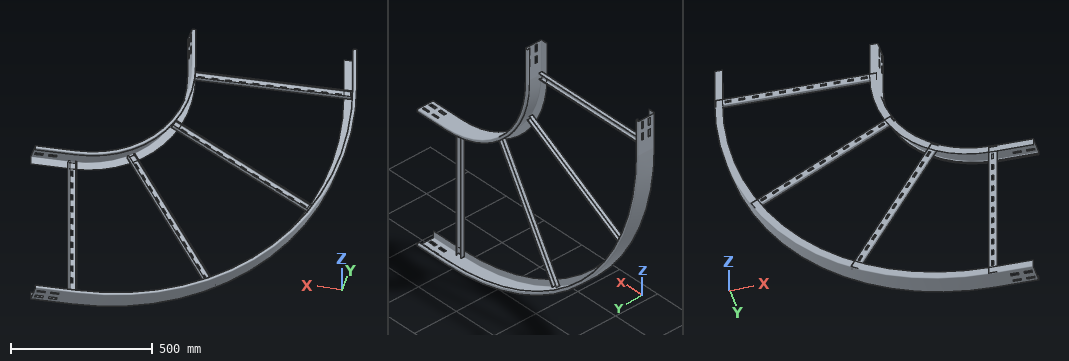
import cadquery as cq

overall_size = 1170.0
tray_height = 80.0
tray_width = 600.0
straight_length = 150.0
sheet = 1.5

broad_flange = 30.0
narrow_flange = 14.0
lip_depth = 10.0
bend_radius = 4.1

rung_angles = (0, 30, 60, 90)
rung_width = 30.0
rung_depth = 15.0
rung_lip = 5.0
rung_bend_radius = 2.0
rung_end_gap = 6.0

slot_pitch = straight_length / 3
end_slot_length = 29.0
end_slot_columns = 2
end_slot_rows = ((19.0, 7.0), (-14.0, 10.0))
rung_slot_count = 11
rung_slot_length = 21.0
rung_slot_width = 7.0

outer_radius = overall_size - straight_length
inner_radius = outer_radius - tray_width
bend_center = (outer_radius, 0, overall_size - straight_length)
half_height = tray_height / 2
inner_bend = bend_radius - sheet


def rail_section(web_radius, inward):
    """Channel section left of the bend axis; inward is +1 if the channel opens towards the axis."""

    def point(depth, y):
        return (-web_radius + inward * depth, y)

    def bend(section, depth, y, radius):
        return section.radiusArc(point(depth, y), inward * radius)

    top = half_height
    bottom = -half_height
    lip_end = top - lip_depth

    section = cq.Workplane("XY", origin=bend_center).moveTo(*point(broad_flange, bottom))
    section = section.lineTo(*point(bend_radius, bottom))
    section = bend(section, 0, bottom + bend_radius, bend_radius)
    section = section.lineTo(*point(0, top - bend_radius))
    section = bend(section, bend_radius, top, bend_radius)
    section = section.lineTo(*point(narrow_flange - bend_radius, top))
    section = bend(section, narrow_flange, top - bend_radius, bend_radius)
    section = section.lineTo(*point(narrow_flange, lip_end))
    section = section.lineTo(*point(narrow_flange - sheet, lip_end))
    section = section.lineTo(*point(narrow_flange - sheet, top - bend_radius))
    section = bend(section, narrow_flange - bend_radius, top - sheet, -inner_bend)
    section = section.lineTo(*point(bend_radius, top - sheet))
    section = bend(section, sheet, top - bend_radius, -inner_bend)
    section = section.lineTo(*point(sheet, bottom + bend_radius))
    section = bend(section, bend_radius, bottom + sheet, -inner_bend)
    section = section.lineTo(*point(broad_flange, bottom + sheet))
    return section.close()


def turn_about_bend(body, angle):
    """Turn a body about the bend axis, from the -X side towards the -Z side."""
    x, y, z = bend_center
    return body.rotate((x, y, z), (x, y - 1, z), angle)


def end_slots(web_radius, direction):
    """Slot cutters for the web of a straight end that runs along Z from the bend axis."""
    cutters = cq.Workplane("XY")
    for y, width in end_slot_rows:
        for column in range(end_slot_columns):
            from_axis = straight_length - (column + 0.5) * slot_pitch
            cutter = cq.Workplane("XY").box(2 * bend_radius, width, end_slot_length)
            place = (-web_radius, y, direction * from_axis)
            cutters = cutters.add(cutter.translate(place).translate(bend_center))
    return cutters.combine()


def make_rail(web_radius, inward):
    section = rail_section(web_radius, inward)
    arc = section.revolve(90, (0, 0, 0), (0, -1, 0))
    upper_end = rail_section(web_radius, inward).extrude(straight_length)
    upper_end = upper_end.cut(end_slots(web_radius, 1))
    lower_end = rail_section(web_radius, inward).extrude(-straight_length)
    lower_end = turn_about_bend(lower_end.cut(end_slots(web_radius, -1)), 90)
    return arc.union(upper_end, clean=False).union(lower_end, clean=False)


def make_rung(angle):
    """Lipped, slotted channel lying on the broad flanges and stopping just short of the rail webs."""
    length = tray_width - 2 * rung_end_gap
    middle_radius = (outer_radius + inner_radius) / 2
    front = -half_height + sheet
    center_y = front + rung_depth / 2

    rung = cq.Workplane("XY").box(length, rung_depth, rung_width)
    rung = rung.edges("|X").fillet(rung_bend_radius)
    hollow = cq.Workplane("XY").box(length, rung_depth - 2 * sheet, rung_width - 2 * sheet)
    hollow = hollow.edges("|X").fillet(rung_bend_radius - sheet)
    opening = cq.Workplane("XY").box(length, rung_depth, rung_width - 2 * rung_lip)
    rung = rung.cut(hollow).cut(opening.translate((0, sheet, 0)))

    slots = (
        cq.Workplane("XZ")
        .rarray(slot_pitch, 12, rung_slot_count, 1)
        .rect(rung_slot_length, rung_slot_width)
        .extrude(rung_depth, both=True)
    )
    rung = rung.cut(slots)
    rung = rung.translate((-middle_radius, center_y, 0)).translate(bend_center)
    return turn_about_bend(rung, angle)


outer_rail = make_rail(outer_radius, 1)
inner_rail = make_rail(inner_radius, -1)
rungs = [make_rung(angle) for angle in rung_angles]

result = cq.Compound.makeCompound(
    [body.solids().val() for body in (outer_rail, inner_rail, *rungs)]
)